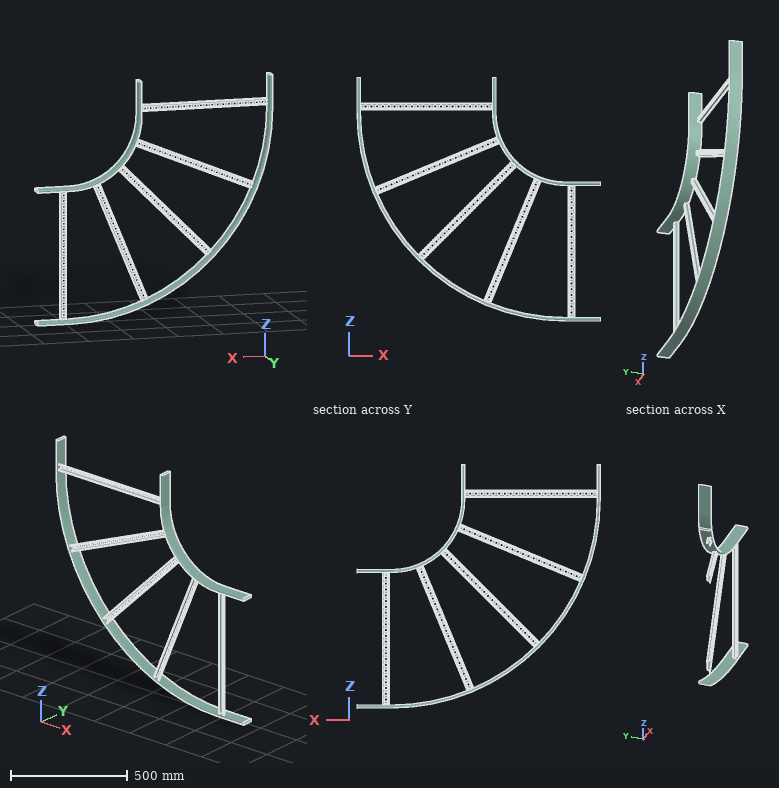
import cadquery as cq
import math

SPAN = 1050.0
TAIL_LENGTH = 150.0
OUTER_RADIUS = SPAN - TAIL_LENGTH
LADDER_WIDTH = 600.0
INNER_RADIUS = OUTER_RADIUS - LADDER_WIDTH

RAIL_HEIGHT = 60.0
RAIL_THICKNESS = 16.0
RAIL_WALL = 2.0

RUNG_WIDTH = 32.0
TROUGH_MOUTH = 18.0
WEB_WIDTH = 14.0
RUNG_DEPTH = 17.0
SHEET = 3.0
BEND_RADIUS = 3.0
FRONT_SETBACK = 5.0
HOLE_DIAMETER = 14.0
HOLES_PER_RUNG = 24
HOLE_PITCH = LADDER_WIDTH / HOLES_PER_RUNG

BEND_ANGLE = 90.0
BEND_RUNGS = 3
END_RUNG_OFFSET = 25.0


def bend_path(radius):
    """Straight run, quarter bend and straight run at the given radius."""
    mid = radius * math.sqrt(0.5)
    return (
        cq.Workplane("XZ")
        .moveTo(-radius, TAIL_LENGTH)
        .lineTo(-radius, 0)
        .threePointArc((-mid, -mid), (0, -radius))
        .lineTo(TAIL_LENGTH, -radius)
    )


def bend_bar(radius, height, thickness):
    """Solid flat-oval bar swept along the bend, centred on the given radius."""
    return (
        cq.Workplane("XY", origin=(-radius, 0, TAIL_LENGTH))
        .slot2D(height, thickness, 90)
        .sweep(bend_path(radius))
    )


def make_rail(inner_face_radius):
    radius = inner_face_radius + RAIL_THICKNESS / 2
    outside = bend_bar(radius, RAIL_HEIGHT, RAIL_THICKNESS)
    bore = bend_bar(radius, RAIL_HEIGHT - 2 * RAIL_WALL, RAIL_THICKNESS - 2 * RAIL_WALL)
    return outside.cut(bore)


def space_between_rails():
    """Region from the inner rail's convex face to the outer rail's concave face."""
    near = INNER_RADIUS + RAIL_THICKNESS
    far = OUTER_RADIUS - RAIL_THICKNESS
    near_mid = near * math.sqrt(0.5)
    return (
        bend_path(far)
        .lineTo(TAIL_LENGTH, -near)
        .lineTo(0, -near)
        .threePointArc((-near_mid, -near_mid), (-near, 0))
        .lineTo(-near, TAIL_LENGTH)
        .close()
        .extrude(RAIL_HEIGHT / 2, both=True)
    )


def hat_outline():
    """Hat section as (y, z) points, flanges at the front and web at the back."""
    front = -RAIL_HEIGHT / 2 + FRONT_SETBACK
    back = front + RUNG_DEPTH
    lean = math.atan2((TROUGH_MOUTH - WEB_WIDTH) / 2, RUNG_DEPTH - SHEET)
    side = SHEET * math.tan(math.pi / 4 - lean / 2)
    half = [
        (back - SHEET, WEB_WIDTH / 2),
        (front, TROUGH_MOUTH / 2),
        (front, RUNG_WIDTH / 2),
        (front + SHEET, RUNG_WIDTH / 2),
        (front + SHEET, TROUGH_MOUTH / 2 + side),
        (back, WEB_WIDTH / 2 + side),
    ]
    return half + [(y, -z) for y, z in reversed(half)]


def make_rung(angle, offset, space):
    """Rung along the bend radius at the given angle, moved sideways by offset, trimmed to fit."""
    strip = (
        cq.Workplane("YZ", origin=(-OUTER_RADIUS, 0, 0))
        .polyline(hat_outline())
        .close()
        .extrude(LADDER_WIDTH)
        .edges("|X and (<Y or >Y)")
        .filter(lambda edge: abs(edge.Center().z) < RUNG_WIDTH / 2 - SHEET)
        .fillet(BEND_RADIUS)
    )
    holes = (
        cq.Workplane("XZ", origin=(-OUTER_RADIUS + LADDER_WIDTH / 2, 0, 0))
        .rarray(HOLE_PITCH, 10, HOLES_PER_RUNG, 1)
        .circle(HOLE_DIAMETER / 2)
        .extrude(RAIL_HEIGHT, both=True)
    )
    rung = strip.cut(holes).translate((0, 0, offset))
    return rung.rotate((0, 0, 0), (0, 1, 0), -angle).intersect(space).solids()


inner_rail = make_rail(INNER_RADIUS)
outer_rail = make_rail(OUTER_RADIUS - RAIL_THICKNESS)

angle_step = BEND_ANGLE / (BEND_RUNGS + 1)
stations = [(0, END_RUNG_OFFSET)]
stations += [(angle_step * i, 0) for i in range(1, BEND_RUNGS + 1)]
stations += [(BEND_ANGLE, -END_RUNG_OFFSET)]

rung_space = space_between_rails()
rungs = [make_rung(angle, offset, rung_space).val() for angle, offset in stations]

result = cq.Compound.makeCompound([inner_rail.val(), outer_rail.val(), *rungs])